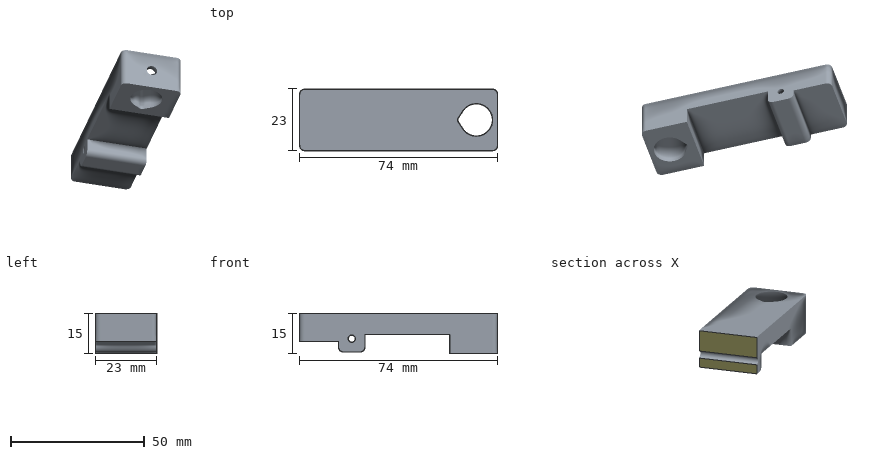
import cadquery as cq
import math

length = 74.0
width = 23.0
height = 15.0
corner_radius = 2.0

front_depth = 10.6
web_depth = 8.0
foot_start = 56.0

tab_start = 14.5
tab_length = 10.0
tab_depth = 14.5
tab_end = tab_start + tab_length
pin_diameter = 2.6
pin_depth = 9.5
pin_x = tab_start + tab_length / 2

opening_radius = 6.0
opening_x = length - corner_radius - opening_radius
tip_half_angle = math.radians(57)
tip_radius = 1.2

cross_diameter = 4.0
cross_depth = height / 2


def make_body():
    """Stepped side profile extruded across the width, with rounded ends and tab."""
    profile = [
        (0, 0),
        (length, 0),
        (length, -height),
        (foot_start, -height),
        (foot_start, -web_depth),
        (tab_end, -web_depth),
        (tab_end, -tab_depth),
        (tab_start, -tab_depth),
        (tab_start, -front_depth),
        (0, -front_depth),
    ]
    body = cq.Workplane("XZ").polyline(profile).close().extrude(width / 2, both=True)
    selection_margin = 0.1
    tab_edges = cq.selectors.BoxSelector(
        (tab_start - selection_margin, -width, -tab_depth - selection_margin),
        (tab_end + selection_margin, width, -tab_depth + selection_margin),
    )
    body = body.edges("|Y").edges(tab_edges).fillet(corner_radius)
    end_edges = body.faces("<X or >X").edges("|Z")
    return end_edges.fillet(corner_radius)


def make_opening():
    """Circle joined to a wedge of two tangent lines that meet in a rounded tip."""
    tangent_x = opening_x - opening_radius * math.sin(tip_half_angle)
    tangent_y = opening_radius * math.cos(tip_half_angle)
    apex_x = opening_x - opening_radius / math.sin(tip_half_angle)
    wedge = (
        cq.Workplane("XY")
        .polyline([(opening_x, 0), (tangent_x, tangent_y), (apex_x, 0), (tangent_x, -tangent_y)])
        .close()
        .extrude(-height)
        .edges("|Z and <X")
        .fillet(tip_radius)
    )
    bore = cq.Workplane("XY").center(opening_x, 0).circle(opening_radius).extrude(-height)
    return bore.union(wedge)


def make_pin_hole():
    """Pin hole through the full width at the hinge tab."""
    section = cq.Workplane("XZ").center(pin_x, -pin_depth)
    return section.circle(pin_diameter / 2).extrude(width, both=True)


def make_cross_hole():
    """Hole along X from the +X end to the middle of the teardrop opening."""
    section = cq.Workplane("YZ", origin=(opening_x, 0, -cross_depth))
    return section.circle(cross_diameter / 2).extrude(length - opening_x)


result = make_body().cut(make_opening()).cut(make_pin_hole()).cut(make_cross_hole())